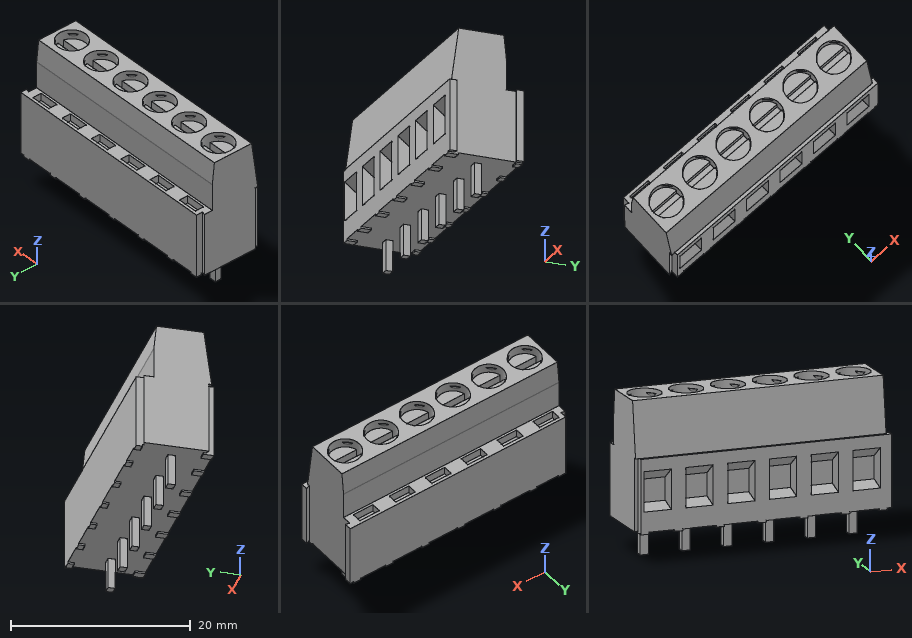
import cadquery as cq
import math


ways = 6
pitch = 5.0
length = ways * pitch
depth = 9.0
rear = depth / 2
front = -depth / 2
foot_height = 0.2
ledge_z = 8.7
top_z = 15.2

tower_rear_y = 2.6
tower_rear_top_y = 2.3
tower_rear_bend_z = 12.3
tower_front_y = -4.1
tower_front_top_y = -3.2

rail_length = 0.5
rail_root = 0.75
rail_tip = 0.9

foot_width = 1.0
rear_foot_depth = 0.75
front_foot_depth = 1.25

pin_width = 1.0
pin_thickness = 0.85
pin_length = 3.5

entry_width = 3.25
entry_bottom_z = 2.6
entry_top_z = 7.25
entry_depth = 1.3
entry_side_taper = 0.22
entry_floor_rise = 0.75
entry_roof_drop = 1.2

well_radius = 1.95
well_y = -0.45
well_depth = 1.25
slot_width = 0.85
slot_depth = 1.0

lip_count = 4
lip_first_angle = 45
lip_below_top = 0.5
lip_height = 0.35
lip_projection = 0.085

pocket_width = 2.7
pocket_length = 1.2
pocket_center_y = 3.5
pocket_depth = 1.0

way_centers = [pitch * (i + 0.5) for i in range(ways)]


def box(x_min, x_max, y_min, y_max, z_min, z_max):
    size = (x_max - x_min, y_max - y_min, z_max - z_min)
    return cq.Workplane("XY").box(*size, centered=False).translate((x_min, y_min, z_min))


def housing():
    profile = [
        (front, foot_height),
        (rear, foot_height),
        (rear, ledge_z),
        (tower_rear_y, ledge_z),
        (tower_rear_y, tower_rear_bend_z),
        (tower_rear_top_y, top_z),
        (tower_front_top_y, top_z),
        (tower_front_y, ledge_z),
        (front, ledge_z),
    ]
    return cq.Workplane("YZ").polyline(profile).close().extrude(length)


def rail(x_root, side):
    """Half-dovetail bar along Z on the rear (side = 1) or front (side = -1) face."""
    outer_y = side * depth / 2
    x_tip = x_root + rail_length
    outline = [
        (x_root, outer_y),
        (x_tip, outer_y),
        (x_tip, outer_y - side * rail_tip),
        (x_root, outer_y - side * rail_root),
    ]
    plane = cq.Workplane("XY").workplane(offset=foot_height)
    return plane.polyline(outline).close().extrude(ledge_z - foot_height)


def feet():
    """Two rows of feet between the ways; the end feet sit inside the groove and the end face."""
    inner_centers = [pitch * i for i in range(1, ways)]
    first_center = rail_length + foot_width / 2
    last_center = length - foot_width / 2
    blocks = cq.Workplane("XY")
    for x in [first_center] + inner_centers + [last_center]:
        x_min = x - foot_width / 2
        x_max = x + foot_width / 2
        blocks = blocks.add(box(x_min, x_max, rear - rear_foot_depth, rear, 0, foot_height))
        blocks = blocks.add(box(x_min, x_max, front, front + front_foot_depth, 0, foot_height))
    return blocks.combine()


def pin(x):
    half_width = pin_width / 2
    half_thickness = pin_thickness / 2
    return box(x - half_width, x + half_width, -half_thickness, half_thickness, -pin_length, foot_height)


def wire_entry(x):
    """Funnel that narrows from the front face to a flat back wall."""
    mouth_height = entry_top_z - entry_bottom_z
    mouth_middle_z = (entry_top_z + entry_bottom_z) / 2
    back_width = entry_width - 2 * entry_side_taper
    back_height = mouth_height - entry_floor_rise - entry_roof_drop
    back_shift = (entry_floor_rise - entry_roof_drop) / 2
    return (
        cq.Workplane("XZ", origin=(x, front, mouth_middle_z))
        .rect(entry_width, mouth_height)
        .workplane(offset=-entry_depth)
        .center(0, back_shift)
        .rect(back_width, back_height)
        .loft(ruled=True)
    )


def lip(angle):
    """Wedge with a flat top and a sloping underside, placed around a well centred on the origin."""
    tip = well_radius - lip_projection
    lip_z = top_z - lip_below_top
    half_chord = math.sqrt(well_radius**2 - tip**2)
    wedge = (
        cq.Workplane("XZ", origin=(0, half_chord, 0))
        .polyline([(tip, lip_z), (well_radius, lip_z), (well_radius, lip_z - lip_height)])
        .close()
        .extrude(2 * half_chord)
    )
    return wedge.rotate((0, 0, 0), (0, 0, 1), angle)


def screw_well(x):
    """Round well with retaining lips, and the driver slot across the screw head at its floor."""
    floor_z = top_z - well_depth
    well = cq.Workplane("XY").workplane(offset=floor_z).circle(well_radius).extrude(well_depth)
    for i in range(lip_count):
        well = well.cut(lip(lip_first_angle + i * 360 / lip_count))
    head = cq.Workplane("XY").workplane(offset=floor_z - slot_depth).circle(well_radius).extrude(slot_depth)
    slot_bar = box(
        -well_radius, well_radius, -slot_width / 2, slot_width / 2, floor_z - slot_depth, floor_z
    )
    return well.union(head.intersect(slot_bar)).translate((x, well_y, 0))


def ledge_pocket(x):
    half_width = pocket_width / 2
    y_min = pocket_center_y - pocket_length / 2
    y_max = pocket_center_y + pocket_length / 2
    return box(x - half_width, x + half_width, y_min, y_max, ledge_z - pocket_depth, ledge_z)


result = housing().union(feet())
for side in (1, -1):
    result = result.union(rail(length, side))
    result = result.cut(rail(0, side))
for x in way_centers:
    result = result.union(pin(x))
    result = result.cut(wire_entry(x)).cut(screw_well(x)).cut(ledge_pocket(x))